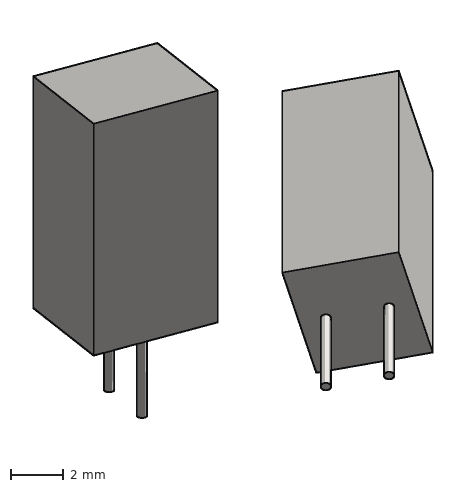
import cadquery as cq

total_height = 13.77
housing_width = 4.6
housing_depth = 5.51
housing_height = 10.0
pin_diameter = 0.4
pin_spacing = 2.49

pin_length = total_height - housing_height


def make_housing():
    """Plain rectangular block standing on the plane Z = 0."""
    return cq.Workplane("XY").box(
        housing_width, housing_depth, housing_height, centered=(True, True, False)
    )


def make_pin(x):
    """Round lead hanging from the housing's underside at the given X."""
    return cq.Workplane("XY").center(x, 0).circle(pin_diameter / 2).extrude(-pin_length)


housing = make_housing()
pins = [make_pin(side * pin_spacing / 2) for side in (-1, 1)]

result = cq.Compound.makeCompound([housing.val(), *[pin.val() for pin in pins]])